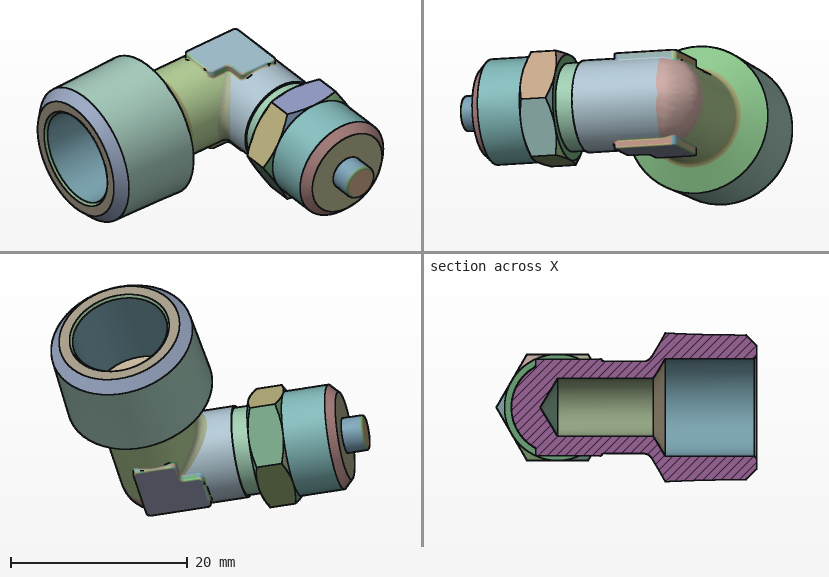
import cadquery as cq
import math


LEG_RADIUS = 5.25
LEG_END_X = 9.0
OUTER_BEND_FILLET = 4.0
INNER_BEND_FILLET = 1.0

SOCKET_RADIUS = 8.43
SOCKET_START_Y = -12.15
SOCKET_END_Y = -22.5
SOCKET_FRONT_RADIUS = 8.2
SOCKET_CHAMFER = 1.2
SHOULDER_ANGLE = 30
SHOULDER_FILLET = 1.0

BORE_RADIUS = 5.5
BORE_BOTTOM_Y = SOCKET_START_Y
BORE_CHAMFER = 0.3
PASSAGE_RADIUS = 3.25
PASSAGE_END_Y = 0
DRILL_POINT_ANGLE = 118

NECK_RADIUS = 5.0
HEX_START_X = 11.0
HEX_END_X = 15.0
HEX_SIDES = 6
HEX_FLATS = 12.0
HEX_FACE_RADIUS = HEX_FLATS / 2
HEX_CHAMFER_ANGLE = 30
COLLAR_RADIUS = HEX_FLATS / 2
COLLAR_END_X = 21.0
COLLAR_CHAMFER = 1.0
STUB_RADIUS = 2.0
STUB_END_X = 23.5
STUB_FILLET = 0.3

PAD_HALF_WIDTH = 2.5
PAD_REACH = 5.0
PAD_HEIGHT = 5.5
PAD_CORNER_RADIUS = 0.5
PAD_FILLET = 0.2
PAD_FOOT_MIN_HEIGHT = 4.3


def slope_rise(run, angle):
    """Rise of a slope at the given angle in degrees over a straight run."""
    return run * math.tan(math.radians(angle))


def revolve_profile(points, axis_end):
    """Spin an XY outline about the axis from the origin to axis_end."""
    return cq.Workplane("XY").polyline(points).close().revolve(360, (0, 0, 0), axis_end)


def revolve_about_x(points):
    return revolve_profile(points, (1, 0, 0))


def revolve_about_y(points):
    return revolve_profile(points, (0, 1, 0))


def mitred_legs():
    """Two equal round bars joined at the 45 degree plane x + y = 0."""
    overrun = 2 * LEG_RADIUS
    reach = overrun - SOCKET_START_Y
    socket_plane = cq.Plane(origin=(0, overrun, 0), xDir=(0, 0, 1), normal=(0, -1, 0))
    nut_plane = cq.Plane(origin=(-overrun, 0, 0), xDir=(0, 0, 1), normal=(1, 0, 0))
    socket_bar = cq.Workplane(socket_plane).circle(LEG_RADIUS).extrude(reach)
    nut_bar = cq.Workplane(nut_plane).circle(LEG_RADIUS).extrude(overrun + LEG_END_X)
    socket_side = (
        cq.Workplane("XY")
        .polyline([(-reach, reach), (reach, -reach), (-reach, -reach)])
        .close()
        .extrude(overrun, both=True)
    )
    return socket_bar.intersect(socket_side).union(nut_bar.cut(socket_side))


def bend_pads():
    """One L-shaped prism through the bend; its two ends stand out as pads."""
    near = PAD_HALF_WIDTH
    far = PAD_REACH
    outline = [(-near, near), (far, near), (far, -near), (near, -near), (near, -far), (-near, -far)]
    prism = cq.Workplane("XY").polyline(outline).close().extrude(PAD_HEIGHT, both=True)
    return prism.edges("|Z").fillet(PAD_CORNER_RADIUS)


def round_bend(body):
    """Round the mitre edges on the outer (-X, +Y) and inner (+X, -Y) sides of the bend."""
    outer_box = cq.selectors.BoxSelector(
        (-LEG_RADIUS, PAD_HALF_WIDTH, -LEG_RADIUS), (-PAD_HALF_WIDTH, LEG_RADIUS, LEG_RADIUS)
    )
    inner_box = cq.selectors.BoxSelector(
        (PAD_HALF_WIDTH, -LEG_RADIUS, -LEG_RADIUS), (LEG_RADIUS, -PAD_HALF_WIDTH, LEG_RADIUS)
    )
    body = body.edges("%ELLIPSE").edges(outer_box).fillet(OUTER_BEND_FILLET)
    return body.edges("%ELLIPSE").edges(inner_box).fillet(INNER_BEND_FILLET)


def round_pads(body):
    """Round the pads where they meet the legs, then around their flat faces."""

    def is_pad_foot(edge):
        return PAD_FOOT_MIN_HEIGHT < abs(edge.Center().z) < LEG_RADIUS

    body = body.edges("not |Z").filter(is_pad_foot).fillet(PAD_FILLET)
    return body.faces("<Z or >Z").edges().fillet(PAD_FILLET)


def elbow_body():
    return round_pads(round_bend(mitred_legs().union(bend_pads())))


def socket():
    """Tapered socket with a chamfered mouth and a conical shoulder up to the leg."""
    shoulder_top_y = SOCKET_START_Y + slope_rise(SOCKET_RADIUS - LEG_RADIUS, SHOULDER_ANGLE)
    leg_overlap_y = shoulder_top_y + SHOULDER_FILLET
    solid = revolve_about_y([
        (0, leg_overlap_y),
        (LEG_RADIUS, leg_overlap_y),
        (LEG_RADIUS, shoulder_top_y),
        (SOCKET_RADIUS, SOCKET_START_Y),
        (SOCKET_FRONT_RADIUS, SOCKET_END_Y + SOCKET_CHAMFER),
        (SOCKET_FRONT_RADIUS - SOCKET_CHAMFER, SOCKET_END_Y),
        (0, SOCKET_END_Y),
    ])
    shoulder_edge = cq.selectors.NearestToPointSelector((0, shoulder_top_y, 0))
    return solid.edges("%CIRCLE").edges(shoulder_edge).fillet(SHOULDER_FILLET)


def socket_bore():
    """Socket bore and narrower passage, both ending in drill-point cones."""
    cone_angle = 90 - DRILL_POINT_ANGLE / 2
    step_y = BORE_BOTTOM_Y + slope_rise(BORE_RADIUS - PASSAGE_RADIUS, cone_angle)
    tip_y = PASSAGE_END_Y + slope_rise(PASSAGE_RADIUS, cone_angle)
    return revolve_about_y([
        (0, SOCKET_END_Y),
        (BORE_RADIUS + BORE_CHAMFER, SOCKET_END_Y),
        (BORE_RADIUS, SOCKET_END_Y + BORE_CHAMFER),
        (BORE_RADIUS, BORE_BOTTOM_Y),
        (PASSAGE_RADIUS, step_y),
        (PASSAGE_RADIUS, PASSAGE_END_Y),
        (0, tip_y),
    ])


def hex_nut():
    """Hexagon with corners along Y, bevelled on both faces."""
    corner_radius = HEX_FLATS / 2 / math.cos(math.pi / HEX_SIDES)
    bevel = slope_rise(corner_radius - HEX_FACE_RADIUS, HEX_CHAMFER_ANGLE)
    prism = (
        cq.Workplane("YZ", origin=(HEX_START_X, 0, 0))
        .polygon(HEX_SIDES, 2 * corner_radius)
        .extrude(HEX_END_X - HEX_START_X)
    )
    bevel_envelope = revolve_about_x([
        (HEX_START_X, 0),
        (HEX_START_X, HEX_FACE_RADIUS),
        (HEX_START_X + bevel, corner_radius),
        (HEX_END_X - bevel, corner_radius),
        (HEX_END_X, HEX_FACE_RADIUS),
        (HEX_END_X, 0),
    ])
    return prism.intersect(bevel_envelope)


def neck_collar_and_stub():
    """Round parts of the nut end: neck, chamfered collar and tube stub."""
    solid = revolve_about_x([
        (LEG_END_X, 0),
        (LEG_END_X, NECK_RADIUS),
        (HEX_END_X, NECK_RADIUS),
        (HEX_END_X, COLLAR_RADIUS),
        (COLLAR_END_X - COLLAR_CHAMFER, COLLAR_RADIUS),
        (COLLAR_END_X, COLLAR_RADIUS - COLLAR_CHAMFER),
        (COLLAR_END_X, STUB_RADIUS),
        (STUB_END_X, STUB_RADIUS),
        (STUB_END_X, 0),
    ])
    return solid.faces(">X").edges().fillet(STUB_FILLET)


result = (
    elbow_body()
    .union(socket())
    .union(neck_collar_and_stub())
    .union(hex_nut())
    .cut(socket_bore())
)